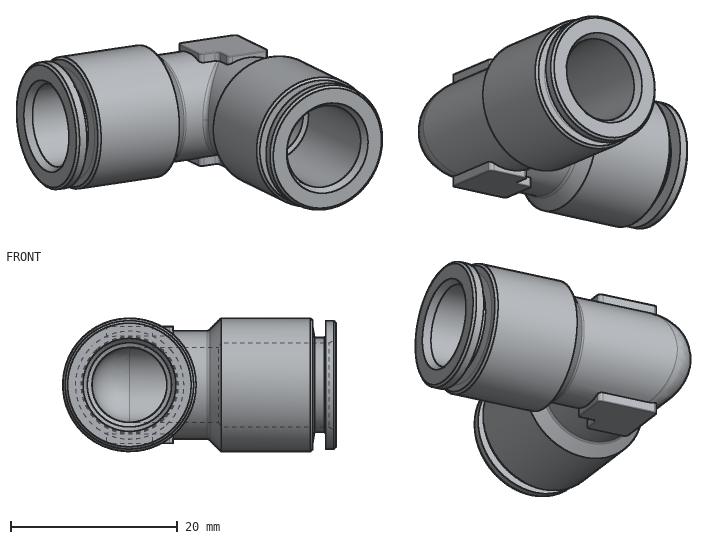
import cadquery as cq
import math


overall_length = 32.8
sleeve_radius = 8.0
leg_end = overall_length - sleeve_radius

tube_radius = 6.5
outer_corner_radius = 3.1
inner_corner_radius = 0.5
mitre_clearance = 0.15

sleeve_start = 11.0
sleeve_end = leg_end - 2.8
shoulder_end = sleeve_end + 0.2
flange_start = leg_end - 1.28

cone_angle_degrees = 45.0
cone_blend_radius = 0.52
shoulder_radius = 6.85
neck_radius = 5.7
neck_flare = 0.13
flange_radius = 7.7
edge_chamfer = 0.3

socket_radius = 5.05
passage_radius = 4.5
socket_mouth_widening = 0.52
socket_mouth_depth = 0.9
socket_bottom = sleeve_start
socket_bottom_angle = 30.0

plate_near = 2.75
plate_far = 5.25
plate_height = 7.02
plate_root = 4.92
plate_corner_radius = 0.5
plate_edge_radius = 0.1


def as_leg(profile):
    """Revolve a half profile (radius, distance) into a leg running along -Y."""
    return profile.close().revolve(360, (0, 0, 0), (0, 1, 0))


def both_legs(leg):
    """Join a leg along -Y with its copy turned to run along +X."""
    return leg.union(leg.rotate((0, 0, 0), (0, 0, 1), 90))


def leg_outside():
    cone_angle = math.radians(cone_angle_degrees)
    cone_foot = sleeve_start - (sleeve_radius - tube_radius) / math.tan(cone_angle)
    blend_start = cone_foot - cone_blend_radius * math.tan(cone_angle / 2)

    def blend_point(turn):
        rise = cone_blend_radius * (1 - math.cos(turn))
        run = cone_blend_radius * math.sin(turn)
        return (tube_radius + rise, -blend_start - run)

    profile = (
        cq.Workplane("XY")
        .lineTo(tube_radius, 0)
        .lineTo(tube_radius, -blend_start)
        .threePointArc(blend_point(cone_angle / 2), blend_point(cone_angle))
        .lineTo(sleeve_radius, -sleeve_start)
        .lineTo(sleeve_radius, -sleeve_end + edge_chamfer)
        .lineTo(sleeve_radius - edge_chamfer, -sleeve_end)
        .lineTo(shoulder_radius, -sleeve_end)
        .lineTo(neck_radius, -shoulder_end)
        .lineTo(neck_radius, -flange_start + neck_flare)
        .lineTo(neck_radius + neck_flare, -flange_start)
        .lineTo(flange_radius, -flange_start)
        .lineTo(flange_radius, -leg_end + edge_chamfer)
        .lineTo(flange_radius - edge_chamfer, -leg_end)
        .lineTo(0, -leg_end)
    )
    return as_leg(profile)


def leg_passage():
    step = socket_radius - passage_radius
    step_start = socket_bottom - step * math.tan(math.radians(socket_bottom_angle))
    profile = (
        cq.Workplane("XY")
        .lineTo(passage_radius, 0)
        .lineTo(passage_radius, -step_start)
        .lineTo(socket_radius, -socket_bottom)
        .lineTo(socket_radius, -leg_end + socket_mouth_depth)
        .lineTo(socket_radius + socket_mouth_widening, -leg_end)
        .lineTo(0, -leg_end)
    )
    return as_leg(profile)


def outer_corner():
    """Mitred tube corner in the quadrant behind the legs, rounded along the mitre."""
    along_x = cq.Workplane("YZ").circle(tube_radius).extrude(-tube_radius)
    along_y = cq.Workplane("XZ").circle(tube_radius).extrude(-tube_radius)
    mitre = cq.selectors.BoxSelector(
        (-tube_radius, mitre_clearance, -tube_radius), (-mitre_clearance, tube_radius, tube_radius)
    )
    return along_x.intersect(along_y).edges(mitre).fillet(outer_corner_radius)


def label_plate():
    """L-shaped pad standing on top of the tube."""
    outline = (
        cq.Workplane("XY", origin=(0, 0, plate_root))
        .moveTo(-plate_near, plate_near)
        .lineTo(plate_far, plate_near)
        .lineTo(plate_far, -plate_near)
        .lineTo(plate_near, -plate_near)
        .lineTo(plate_near, -plate_far)
        .lineTo(-plate_near, -plate_far)
        .close()
    )
    pad = outline.extrude(plate_height - plate_root)
    return pad.edges("|Z").fillet(plate_corner_radius).faces(">Z").edges().fillet(plate_edge_radius)


legs = both_legs(leg_outside())
inner_mitre = cq.selectors.BoxSelector(
    (mitre_clearance, -tube_radius, -tube_radius), (tube_radius, -mitre_clearance, tube_radius)
)
legs = legs.edges(inner_mitre).fillet(inner_corner_radius)
plate = label_plate()
outside = legs.union(plate).union(plate.mirror("XY")).union(outer_corner())

passage = both_legs(leg_passage()).union(cq.Workplane("XY").sphere(passage_radius))
result = outside.cut(passage)